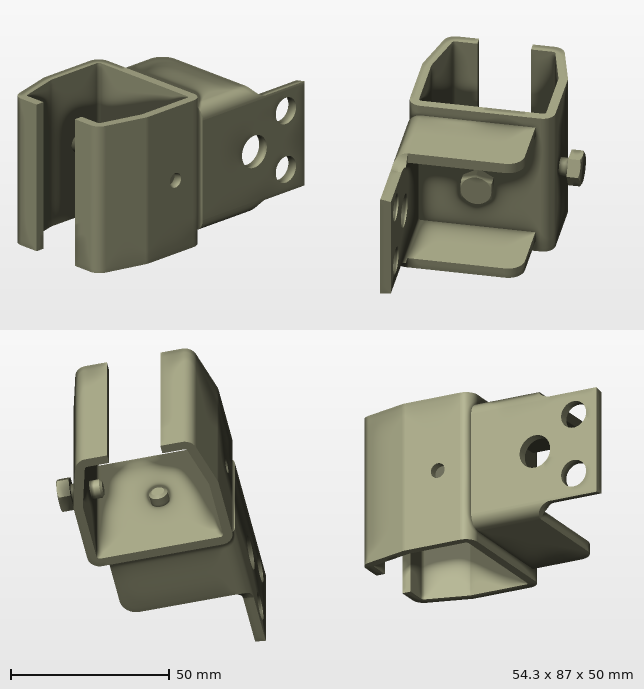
import cadquery as cq
import math

overall_depth = 87.0

clamp_height = 50.0
clamp_half_width = 23.5
clamp_depth = 42.0
clamp_sheet = 3.0
clamp_outer_bend = 4.0
clamp_inner_bend = clamp_outer_bend - clamp_sheet
straight_side_depth = 24.4
side_taper = 15.0
mouth_width = 17.3

bracket_sheet = 3.5
bracket_inner_bend = 1.0
bracket_outer_bend = bracket_inner_bend + bracket_sheet
bracket_half_height = 21.445
bracket_web_length = overall_depth - clamp_depth
flange_length = 22.6
flange_tip_x = -17.75
flange_corner_radius = 5.4
relief_end = 27.5
relief_middle_y = 24.5
relief_middle_rise = 1.65
web_edge_tilt = 10.0

small_hole_diameter = 9.0
small_hole_y = 36.8
small_hole_z = 10.0
large_hole_diameter = 11.0
large_hole_y = 22.9

bolt_diameter = 6.0
bolt_tip_diameter = 4.2
bolt_tip_chamfer_length = 0.8
bolt_reach = 7.0
head_gap = 3.05
head_height = 4.2
head_flats = 9.9
head_chamfer_angle = 30.0
side_bolt_y = -12.0
opposite_hole_diameter = 5.0

bracket_web_x = clamp_half_width
bend_axis_x = bracket_web_x - bracket_outer_bend
bend_axis_z = bracket_half_height - bracket_outer_bend


def clamp_prism(inset, bend_radius):
    """Filled clamp outline, moved inwards by inset, with rounded bends."""
    taper_depth = clamp_depth - straight_side_depth
    front_half_width = clamp_half_width - taper_depth * math.tan(math.radians(side_taper))
    right_side = [
        (clamp_half_width, 0),
        (clamp_half_width, -straight_side_depth),
        (front_half_width, -clamp_depth),
    ]
    left_side = [(-x, y) for x, y in reversed(right_side)]
    outline = cq.Workplane("XY").polyline(right_side + left_side).close()
    if inset:
        outline = outline.offset2D(-inset, "intersection")
    prism = outline.extrude(clamp_height / 2, both=True)
    return prism.edges("|Z").fillet(bend_radius)


def make_clamp():
    tube = clamp_prism(0, clamp_outer_bend).cut(clamp_prism(clamp_sheet, clamp_inner_bend))
    mouth = cq.Workplane("XY").box(mouth_width, 2 * clamp_sheet, clamp_height).translate((0, -clamp_depth, 0))
    opposite_hole = (
        cq.Workplane("YZ")
        .center(side_bolt_y, 0)
        .circle(opposite_hole_diameter / 2)
        .extrude(2 * clamp_half_width)
    )
    return tube.cut(mouth).cut(opposite_hole)


def bracket_prism(inset, bend_radius):
    """Filled bracket section, moved inwards by inset on the web and flange sides."""
    web_x = bracket_web_x - inset
    half_height = bracket_half_height - inset
    return (
        cq.Workplane("XY")
        .box(web_x - flange_tip_x, bracket_web_length, 2 * half_height, centered=(False, False, True))
        .translate((flange_tip_x, 0, 0))
        .edges("|Y and >X")
        .fillet(bend_radius)
    )


def make_upper_relief():
    """Cutter that trims the upper bend and web edge beyond the flange, ending in a concave arc."""
    tilt = math.radians(web_edge_tilt)
    trim_plane = cq.Plane(
        origin=(bend_axis_x, 0, bend_axis_z),
        xDir=(0, 1, 0),
        normal=(math.cos(tilt), 0, math.sin(tilt)),
    )
    return (
        cq.Workplane(trim_plane)
        .moveTo(relief_end, 0)
        .threePointArc((relief_middle_y, relief_middle_rise), (flange_length, bracket_outer_bend))
        .lineTo(bracket_web_length, bracket_outer_bend)
        .lineTo(bracket_web_length, 0)
        .close()
        .extrude(2 * bracket_outer_bend, both=True)
    )


def make_bracket():
    bracket = bracket_prism(0, bracket_outer_bend).cut(bracket_prism(bracket_sheet, bracket_inner_bend))

    beyond_flanges = (
        cq.Workplane("XY")
        .box(
            bend_axis_x - flange_tip_x,
            bracket_web_length - flange_length,
            2 * bracket_half_height,
            centered=(False, False, True),
        )
        .translate((flange_tip_x, flange_length, 0))
    )
    upper_relief = make_upper_relief()
    bracket = bracket.cut(beyond_flanges).cut(upper_relief).cut(upper_relief.mirror("XY"))
    bracket = bracket.edges("|Z and <X").edges(">Y").fillet(flange_corner_radius)

    holes = [
        (small_hole_y, small_hole_z, small_hole_diameter),
        (small_hole_y, -small_hole_z, small_hole_diameter),
        (large_hole_y, 0, large_hole_diameter),
    ]
    for y, z, diameter in holes:
        hole = cq.Workplane("YZ").center(y, z).circle(diameter / 2).extrude(2 * bracket_web_x)
        bracket = bracket.cut(hole)
    return bracket


def make_bolt():
    """Bolt on the Z axis, head up, with the clamp's outer face at Z = 0; hex corners along X."""
    shank = cq.Workplane("XY").workplane(offset=-bolt_reach).circle(bolt_diameter / 2)
    shank = shank.extrude(bolt_reach + head_gap)
    tip_inset = (bolt_diameter - bolt_tip_diameter) / 2
    shank = shank.faces("<Z").chamfer(bolt_tip_chamfer_length, tip_inset)

    corner_diameter = head_flats / math.cos(math.pi / 6)
    head = cq.Workplane("XY").workplane(offset=head_gap).polygon(6, corner_diameter).extrude(head_height)
    chamfer_width = (corner_diameter - head_flats) / 2
    chamfer_drop = chamfer_width * math.tan(math.radians(head_chamfer_angle))
    chamfer_envelope = (
        cq.Workplane("XY")
        .workplane(offset=head_gap)
        .circle(corner_diameter / 2)
        .extrude(head_height)
        .faces(">Z")
        .chamfer(chamfer_drop, chamfer_width)
    )
    return shank.union(head.intersect(chamfer_envelope))


origin = (0, 0, 0)
bolt = make_bolt().rotate(origin, (0, 0, 1), 90)
back_bolt = bolt.rotate(origin, (1, 0, 0), -90)
side_bolt = bolt.rotate(origin, (0, 1, 0), -90).translate((-clamp_half_width, side_bolt_y, 0))

result = make_clamp().union(make_bracket()).union(back_bolt).union(side_bolt)